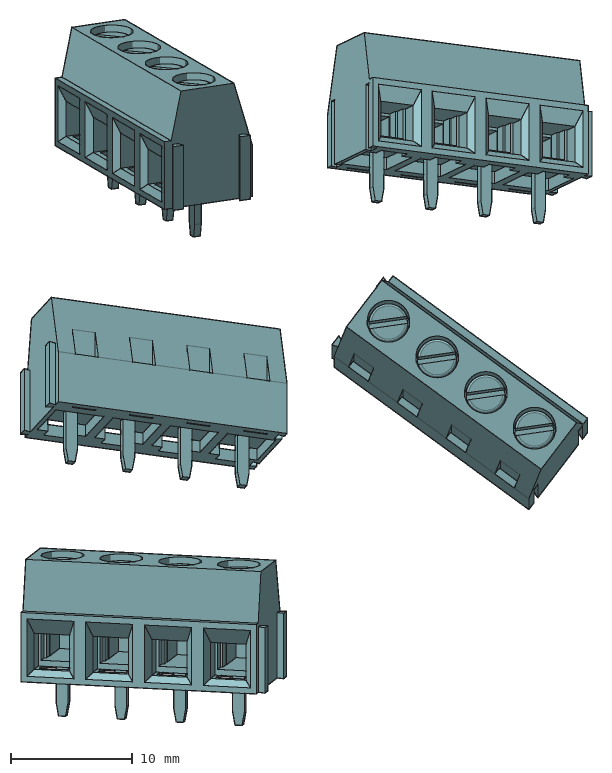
import cadquery as cq

pole_count = 4
total_length = 20.6
body_length = 20.0
body_depth = 8.1
body_height = 10.0
pitch = body_length / pole_count
pole_centers = [pitch * (i + 0.5) for i in range(pole_count)]

front_ledge_height = 5.83
front_ledge_depth = 0.62
top_front_y = 1.52
top_back_y = 6.4
back_wall_height = 4.47

dovetail_height = 5.5
dovetail_root_width = 0.52
dovetail_tip_width = 0.97
dovetail_length = total_length - body_length
dovetail_centers_y = (0.99, 7.13)

mouth_width = 4.0
mouth_bottom = 0.5
mouth_top = 5.31
entry_width = 3.0
entry_bottom = 1.0
entry_top = 4.04
mouth_depth = 0.5
clamp_front_y = 1.92

clamp_width = 2.55
clamp_floor = 1.5
clamp_depth = 0.99
throat_width = 2.2
throat_depth = 0.99
tunnel_width = 2.08
tunnel_top = 3.8
tunnel_back_y = 7.0
tunnel_bend_radius = 0.27

floor_slot_width = 2.4
floor_slot_front_y = 1.0
underside_pocket_width = 4.2
pocket_back_y = 6.39

notch_width = 2.0
notch_depth = 0.76
slit_back_wall = 0.62
notch_floor = 4.47

screw_y = (top_front_y + top_back_y) / 2
screw_hole_diameter = 3.5
screw_hole_depth = 2.0
screw_diameter = 3.21
screw_recess = 0.5
screw_edge_radius = 0.2
slot_width = 0.6
slot_depth = 1.0
slot_angle = 45

pin_length = 3.5
pin_width = 1.0
pin_tip_width = 0.6
pin_thickness = 0.62
pin_taper_length = 1.13
pin_center_y = 4.1


def box(center_x, width, y_range, z_range):
    """Box centred on center_x that spans the given Y and Z ranges."""
    y0, y1 = y_range
    z0, z1 = z_range
    return cq.Workplane("XY").box(width, y1 - y0, z1 - z0, centered=(True, False, False)).translate(
        (center_x, y0, z0)
    )


def make_body():
    profile = [
        (0, 0),
        (body_depth, 0),
        (body_depth, back_wall_height),
        (top_back_y, body_height),
        (top_front_y, body_height),
        (front_ledge_depth, front_ledge_height),
        (0, front_ledge_height),
    ]
    return cq.Workplane("YZ").polyline(profile).close().extrude(body_length)


def make_dovetail(root_x, center_y):
    """Upright dovetail bar that widens toward +X."""
    half_root = dovetail_root_width / 2
    half_tip = dovetail_tip_width / 2
    tip_x = root_x + dovetail_length
    outline = [
        (root_x, center_y - half_root),
        (tip_x, center_y - half_tip),
        (tip_x, center_y + half_tip),
        (root_x, center_y + half_root),
    ]
    return cq.Workplane("XY").polyline(outline).close().extrude(dovetail_height)


def make_wire_entry(x):
    """Rectangular mouth tapering inward from the front face, followed by a straight chamber."""
    mouth_center_z = (mouth_bottom + mouth_top) / 2
    entry_center_z = (entry_bottom + entry_top) / 2
    mouth = (
        cq.Workplane("XZ")
        .center(x, mouth_center_z)
        .rect(mouth_width, mouth_top - mouth_bottom)
        .workplane(offset=-mouth_depth)
        .center(0, entry_center_z - mouth_center_z)
        .rect(entry_width, entry_top - entry_bottom)
        .loft(ruled=True)
    )
    chamber = box(x, entry_width, (mouth_depth, clamp_front_y), (entry_bottom, entry_top))
    return mouth.union(chamber)


def make_clamp_opening(x):
    """Passage that narrows in two steps and ends in a tunnel with a rounded upper back edge."""
    clamp_back_y = clamp_front_y + clamp_depth
    opening = box(x, clamp_width, (clamp_front_y, clamp_back_y), (clamp_floor, entry_top))
    throat_back_y = clamp_back_y + throat_depth
    throat = box(x, throat_width, (clamp_back_y, throat_back_y), (clamp_floor, entry_top))
    tunnel = box(x, tunnel_width, (throat_back_y, tunnel_back_y), (clamp_floor, tunnel_top))
    tunnel = tunnel.edges(">Y and >Z").fillet(tunnel_bend_radius)
    return opening.union(throat).union(tunnel)


def make_underside_opening(x):
    """Narrow slot below the entry chamber that opens into a wider pocket below the clamp."""
    floor_slot = box(x, floor_slot_width, (floor_slot_front_y, clamp_front_y), (0, entry_bottom))
    pocket = box(x, underside_pocket_width, (clamp_front_y, pocket_back_y), (0, entry_bottom))
    return floor_slot.union(pocket)


def make_back_notch(x):
    """Notch in the back slope with a thin slit from its floor down through the underside."""
    notch_front_y = body_depth - notch_depth
    notch = box(x, notch_width, (notch_front_y, body_depth), (notch_floor, body_height))
    slit_back_y = body_depth - slit_back_wall
    slit = box(x, notch_width, (notch_front_y, slit_back_y), (0, notch_floor))
    return notch.union(slit)


def make_screw_hole(x):
    hole_floor = body_height - screw_hole_depth
    return (
        cq.Workplane("XY", origin=(x, screw_y, hole_floor))
        .circle(screw_hole_diameter / 2)
        .extrude(screw_hole_depth)
    )


def make_screw(x):
    """Screw head standing on the floor of its hole, with a rounded rim and a diagonal slot."""
    head_height = screw_hole_depth - screw_recess
    head = cq.Workplane("XY").circle(screw_diameter / 2).extrude(head_height)
    head = head.faces(">Z").edges().fillet(screw_edge_radius)
    slot = (
        cq.Workplane("XY", origin=(0, 0, head_height - slot_depth))
        .rect(screw_hole_diameter, slot_width)
        .extrude(slot_depth)
        .rotate((0, 0, 0), (0, 0, 1), slot_angle)
    )
    return head.cut(slot).translate((x, screw_y, body_height - screw_hole_depth))


def make_pin(x):
    """Flat pin hanging from the ceiling of the underside pocket, narrowed at its tip."""
    half_width = pin_width / 2
    half_tip = pin_tip_width / 2
    taper_z = pin_taper_length - pin_length
    outline = [
        (x - half_width, entry_bottom),
        (x - half_width, taper_z),
        (x - half_tip, -pin_length),
        (x + half_tip, -pin_length),
        (x + half_width, taper_z),
        (x + half_width, entry_bottom),
    ]
    pin_back_y = pin_center_y + pin_thickness / 2
    return cq.Workplane("XZ", origin=(0, pin_back_y, 0)).polyline(outline).close().extrude(pin_thickness)


result = make_body()

for y in dovetail_centers_y:
    result = result.cut(make_dovetail(0, y))
    result = result.union(make_dovetail(body_length, y))

for x in pole_centers:
    result = result.cut(make_wire_entry(x))
    result = result.cut(make_clamp_opening(x))
    result = result.cut(make_underside_opening(x))
    result = result.cut(make_back_notch(x))
    result = result.cut(make_screw_hole(x))
    result = result.union(make_screw(x))
    result = result.union(make_pin(x))